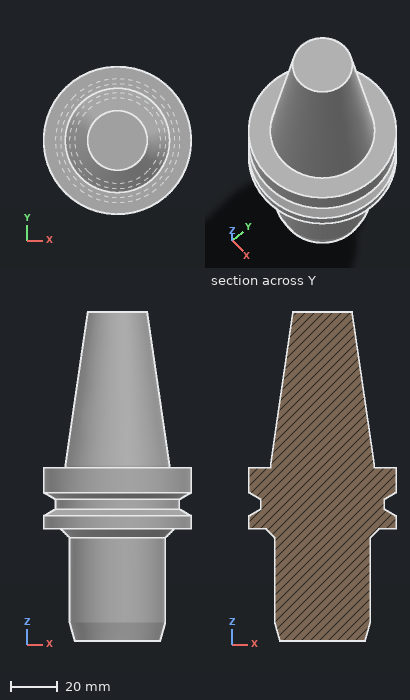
import cadquery as cq

total_length = 140.4

taper_length = 65.4
gauge_diameter = 44.5
taper_ratio = 7 / 24
tip_diameter = gauge_diameter - taper_length * taper_ratio

flange_diameter = 63.0
flange_gap = 1.0
upper_rim_height = 10.7
lower_rim_height = 5.5
groove_diameter = 53.0
groove_floor_width = 4.1
groove_side_height = 3.0

collar_diameter = 48.6
collar_height = 3.8
nose_diameter = 41.0
nose_end_diameter = 36.5
nose_chamfer_height = 8.0

gauge_z = total_length - taper_length
flange_top_z = gauge_z - flange_gap
groove_top_z = flange_top_z - upper_rim_height
floor_top_z = groove_top_z - groove_side_height
floor_bottom_z = floor_top_z - groove_floor_width
groove_bottom_z = floor_bottom_z - groove_side_height
flange_bottom_z = groove_bottom_z - lower_rim_height
collar_bottom_z = flange_bottom_z - collar_height

profile = [
    (0, 0),
    (nose_end_diameter, 0),
    (nose_diameter, nose_chamfer_height),
    (nose_diameter, collar_bottom_z),
    (collar_diameter, flange_bottom_z),
    (flange_diameter, flange_bottom_z),
    (flange_diameter, groove_bottom_z),
    (groove_diameter, floor_bottom_z),
    (groove_diameter, floor_top_z),
    (flange_diameter, groove_top_z),
    (flange_diameter, flange_top_z),
    (gauge_diameter, flange_top_z),
    (gauge_diameter, gauge_z),
    (tip_diameter, total_length),
    (0, total_length),
]

result = (
    cq.Workplane("XZ")
    .polyline([(diameter / 2, level) for diameter, level in profile])
    .close()
    .revolve(360, (0, 0, 0), (0, 1, 0))
)